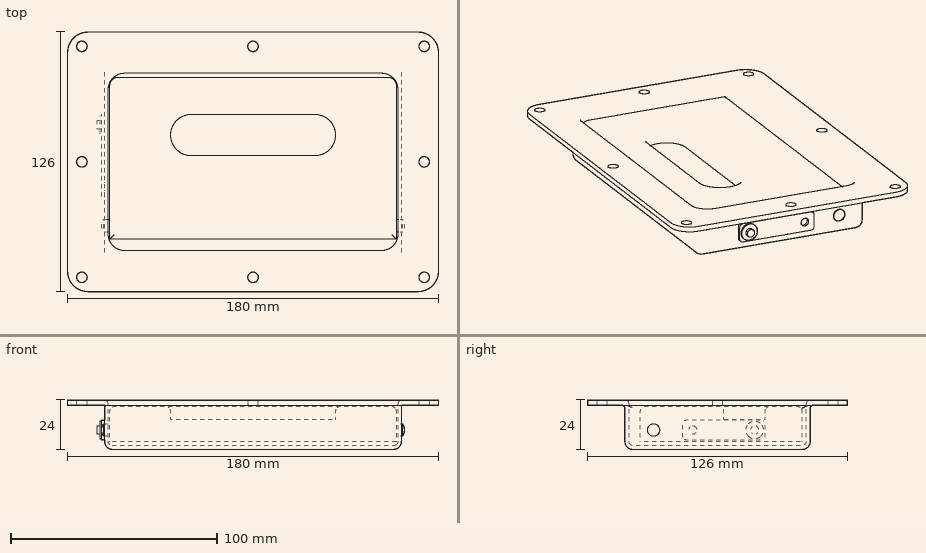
import cadquery as cq
import math

flange_length = 180.0
flange_width = 126.0
flange_thickness = 2.5
flange_corner_radius = 10.0
tray_height = 24.0
pan_length = 144.0
pan_width = 90.0
pan_corner_radius = 4.0
pan_bottom_radius = 3.99
cavity_length = 140.6
cavity_width = 86.0
cavity_corner_radius = 8.0
floor_thickness = 2.0
floor_fillet = 2.0
rim_radius = 2.0
under_flange_fillet = 1.5
flange_bottom = tray_height - flange_thickness

mount_hole_diameter = 5.0
mount_hole_x = 83.0
mount_hole_y = 56.0

hinge_y = -31.0
hinge_z = 9.5
trunnion_diameter = 6.0
dome_height = 1.0
trunnion_protrusion = 0.5

lid_length = 139.0
lid_front_y = -37.5
lid_rear_y = 41.0
lid_bottom = 4.0
lid_top = 21.0
lid_rear_corner_radius = 4.0
lid_edge_radius = 2.5

grip_length = 85.0
grip_width = 25.0
grip_y = 13.0
grip_depth = 6.5
grip_edge_radius = 2.5

latch_length = 40.0
latch_height = 9.5
latch_thickness = 1.5
latch_corner_radius = 1.75
latch_end_margin = 5.0
latch_center_y = 3.0
latch_hole_diameter = 4.0
button_diameter = 8.5
button_height = 0.75
button_tip_diameter = 4.0
button_tip_height = 1.5


def rounded_block(length, width, bottom, top, corner_radius):
    """Upright block centred on the Z axis with rounded vertical edges."""
    block = cq.Workplane("XY").workplane(offset=bottom).rect(length, width).extrude(top - bottom)
    return block.edges("|Z").fillet(corner_radius)


def cylinder_along_x(start_x, length, y, z, diameter):
    """Cylinder from start_x towards +X (or -X when length is negative)."""
    return cq.Workplane("YZ", origin=(start_x, y, z)).circle(diameter / 2).extrude(length)


def edges_near_plane(length, width, center_y, z):
    """Selector for the edges of a loop lying on a horizontal plane within a rectangle."""
    slack = 0.1
    return cq.selectors.BoxSelector(
        (-length / 2 - slack, center_y - width / 2 - slack, z - slack),
        (length / 2 + slack, center_y + width / 2 + slack, z + slack),
    )


def make_tray():
    """Flanged pan with a rounded cavity, mounting holes and a hinge bore through its end walls."""
    pan = rounded_block(pan_length, pan_width, 0, flange_bottom, pan_corner_radius)
    pan = pan.faces("<Z").edges().fillet(pan_bottom_radius)
    flange = rounded_block(
        flange_length, flange_width, flange_bottom, tray_height, flange_corner_radius
    )
    tray = pan.union(flange)
    wall_top = edges_near_plane(pan_length, pan_width, 0, flange_bottom)
    tray = tray.edges(wall_top).fillet(under_flange_fillet)
    end_trim = (
        cq.Workplane("XY")
        .pushPoints([(side * (pan_length / 2 + under_flange_fillet), 0) for side in (-1, 1)])
        .rect(2 * under_flange_fillet, flange_width)
        .extrude(flange_bottom)
    )
    tray = tray.cut(end_trim)

    cavity = rounded_block(
        cavity_length, cavity_width, floor_thickness, tray_height, cavity_corner_radius
    )
    cavity = cavity.faces("<Z").edges().fillet(floor_fillet)
    tray = tray.cut(cavity)
    rim = edges_near_plane(cavity_length, cavity_width, 0, tray_height)
    tray = tray.edges(rim).fillet(rim_radius)

    hole_points = [
        (x, y)
        for x in (-mount_hole_x, 0, mount_hole_x)
        for y in (-mount_hole_y, 0, mount_hole_y)
        if (x, y) != (0, 0)
    ]
    holes = (
        cq.Workplane("XY", origin=(0, 0, flange_bottom))
        .pushPoints(hole_points)
        .circle(mount_hole_diameter / 2)
        .extrude(flange_thickness)
    )
    hinge_bore = cylinder_along_x(-pan_length / 2, pan_length, hinge_y, hinge_z, trunnion_diameter)
    return tray.cut(holes).cut(hinge_bore)


def make_trunnion(side):
    """Round trunnion through one end wall, closed by a shallow dome outside."""
    radius = trunnion_diameter / 2
    shaft_length = (pan_length - lid_length) / 2 + trunnion_protrusion
    sphere_radius = (radius**2 + dome_height**2) / (2 * dome_height)
    arc_middle_angle = math.asin(radius / sphere_radius) / 2
    dome_center = shaft_length + dome_height - sphere_radius
    arc_middle = (
        dome_center + sphere_radius * math.cos(arc_middle_angle),
        sphere_radius * math.sin(arc_middle_angle),
    )
    trunnion = (
        cq.Workplane("XY")
        .lineTo(0, radius)
        .lineTo(shaft_length, radius)
        .threePointArc(arc_middle, (shaft_length + dome_height, 0))
        .close()
        .revolve(360, (0, 0, 0), (1, 0, 0))
    )
    if side < 0:
        trunnion = trunnion.mirror("YZ")
    return trunnion.translate((side * lid_length / 2, hinge_y, hinge_z))


def make_lid():
    """Lid block with a finger grip pocket and a trunnion on each end."""
    lid_width = lid_rear_y - lid_front_y
    lid = (
        cq.Workplane("XY", origin=(0, (lid_front_y + lid_rear_y) / 2, lid_bottom))
        .rect(lid_length, lid_width)
        .extrude(lid_top - lid_bottom)
        .edges("|Z and >Y")
        .fillet(lid_rear_corner_radius)
        .faces(">Z")
        .edges()
        .fillet(lid_edge_radius)
    )

    grip = (
        cq.Workplane("XY", origin=(0, grip_y, lid_top - grip_depth))
        .slot2D(grip_length - 2 * grip_edge_radius, grip_width - 2 * grip_edge_radius)
        .extrude(grip_depth)
    )
    grip_rim = edges_near_plane(grip_length, grip_width, grip_y, lid_top)
    lid = lid.cut(grip).edges(grip_rim).fillet(grip_edge_radius)

    for side in (-1, 1):
        lid = lid.union(make_trunnion(side))
    return lid


def make_latch():
    """Latch plate lying on the -X wall, with a stepped button at one end and a hole at the other."""
    wall_x = -pan_length / 2
    plate_face_x = wall_x - latch_thickness
    button_y = latch_center_y + latch_length / 2 - latch_end_margin
    hole_y = latch_center_y - latch_length / 2 + latch_end_margin
    plate = (
        cq.Workplane("YZ", origin=(wall_x, latch_center_y, hinge_z))
        .rect(latch_length, latch_height)
        .extrude(-latch_thickness)
        .edges("|X")
        .fillet(latch_corner_radius)
    )
    button = cylinder_along_x(plate_face_x, -button_height, button_y, hinge_z, button_diameter)
    tip = cylinder_along_x(
        plate_face_x - button_height, -button_tip_height, button_y, hinge_z, button_tip_diameter
    )
    hole = cylinder_along_x(wall_x, -latch_thickness, hole_y, hinge_z, latch_hole_diameter)
    return plate.union(button).union(tip).cut(hole)


tray = make_tray()
lid = make_lid()
latch = make_latch()

result = cq.Compound.makeCompound([tray.solids().val(), lid.solids().val(), latch.solids().val()])